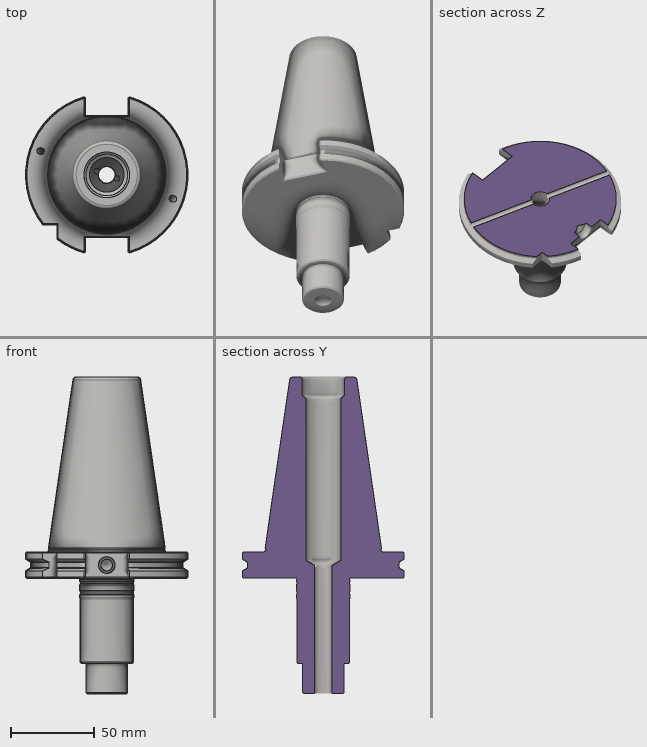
import cadquery as cq
import math

gauge_diameter = 69.85
taper_ratio = 7 / 24
taper_top_z = 101.75
taper_base_z = -1.0
taper_top_edge_radius = 2.0

neck_radius = 34.6
neck_step_z = -2.0
neck_foot_radius = 35.5

flange_diameter = 97.5
flange_radius = flange_diameter / 2
flange_top_z = -3.2
flange_thickness = 15.85
flange_bottom_z = flange_top_z - flange_thickness
flange_edge_chamfer = 0.8

groove_center_z = -11.1
groove_floor_width = 3.5
groove_depth = 3.0
groove_floor_fillet = 0.6
groove_flank_angle = 30

edge_tolerance = 0.01

slot_width = 25.7
slot_floor_back_y = 35.5
slot_floor_front_y = -37.7
slot_edge_chamfer = 0.9
notch_x = -30.0
notch_y = -30.0

chip_diameter = 10.0
chip_depth = 4.6
chip_core_diameter = 7.0

shank_radius = 32.0 / 2
land_radius = 32.5 / 2
shank_end_z = -70.2
shank_end_chamfer = 0.8
pilot_radius = 25.0 / 2
pilot_end_z = -88.35
pilot_end_chamfer = 0.8
undercut_radius = 15.9
collar_top_z = -19.9
collar_bottom_z = -21.0
land_edge_slope = 0.8
lands = [(-22.2, -27.3), (-28.4, -31.4)]

mouth_radius = 27.4 / 2
counterbore_radius = 25.0 / 2
counterbore_depth = 11.0
thread_core_radius = 20.75 / 2
through_bore_radius = 10.0 / 2
bore_shoulder_z = -11.4
drill_point_angle = 118

coolant_angle = -19.8
coolant_circle_radius = 42.2
coolant_feed_diameter = 3.9
coolant_feed_tilt = 30
coolant_cross_diameter = 3.24


def taper_radius(z):
    """Radius of the taper at height z."""
    return (gauge_diameter - taper_ratio * z) / 2


def drill_tip_height(radius):
    """Height of the conical end of a drilled hole."""
    return radius / math.tan(math.radians(drill_point_angle / 2))


def revolve_profile(points):
    """Solid of revolution about Z from (radius, z) points."""
    return cq.Workplane("XZ").polyline(points).close().revolve(360, (0, 0), (0, 1))


def taper_and_neck():
    """Steep taper with a rounded top edge and a waisted neck at its base."""
    taper = revolve_profile([
        (0, taper_top_z),
        (taper_radius(taper_top_z), taper_top_z),
        (taper_radius(taper_base_z), taper_base_z),
        (neck_radius, neck_step_z),
        (neck_foot_radius, flange_top_z),
        (0, flange_top_z),
    ])
    return taper.faces(">Z").edges().fillet(taper_top_edge_radius)


def slot_cutter(floor_y, outward):
    """Drive slot open in the outward direction (+1 or -1 along Y)."""
    return (
        cq.Workplane("XY")
        .workplane(offset=flange_bottom_z)
        .center(0, floor_y + outward * flange_radius / 2)
        .rect(slot_width, flange_radius)
        .extrude(flange_thickness)
    )


def notch_cutter():
    """Square block that clears the orientation notch."""
    block = cq.Workplane("XY").box(flange_radius, flange_radius, flange_thickness, centered=False)
    return block.translate((notch_x - flange_radius, notch_y - flange_radius, flange_bottom_z))


def gripper_groove():
    """Ring with sloping flanks and a rounded floor that cuts the gripper groove."""
    floor_half = groove_floor_width / 2
    rim_half = floor_half + groove_depth * math.tan(math.radians(groove_flank_angle))
    floor_radius = flange_radius - groove_depth
    ring = revolve_profile([
        (floor_radius, groove_center_z + floor_half),
        (flange_radius, groove_center_z + rim_half),
        (flange_radius, groove_center_z - rim_half),
        (floor_radius, groove_center_z - floor_half),
    ])
    for side in (-1, 1):
        corner_z = groove_center_z + side * floor_half
        floor_edge = cq.selectors.BoxSelector(
            (-flange_radius, -flange_radius, corner_z - edge_tolerance),
            (flange_radius, flange_radius, corner_z + edge_tolerance),
            boundingbox=True,
        )
        ring = ring.edges(floor_edge).fillet(groove_floor_fillet)
    return ring


def flange():
    """Flange disc with drive slots, notch, edge chamfers and gripper groove."""
    disc = (
        cq.Workplane("XY")
        .workplane(offset=flange_bottom_z)
        .circle(flange_radius)
        .extrude(flange_thickness)
    )
    disc = disc.cut(slot_cutter(slot_floor_back_y, 1))
    disc = disc.cut(slot_cutter(slot_floor_front_y, -1))
    disc = disc.cut(notch_cutter())
    corner_y = math.sqrt(flange_radius**2 - (slot_width / 2) ** 2)
    for side in (-1, 1):
        for end in (-1, 1):
            corner = (side * slot_width / 2, end * corner_y, groove_center_z)
            disc = disc.edges(cq.selectors.NearestToPointSelector(corner)).chamfer(slot_edge_chamfer)
    disc = disc.faces("<Z or >Z").edges().chamfer(flange_edge_chamfer)
    return disc.cut(gripper_groove())


def shank():
    """Shank with a collar, two bevelled lands and a pilot at its end."""
    points = [
        (0, flange_bottom_z),
        (undercut_radius, flange_bottom_z),
        (undercut_radius, collar_top_z),
        (land_radius, collar_top_z),
        (land_radius, collar_bottom_z),
        (undercut_radius, collar_bottom_z),
    ]
    for top, bottom in lands:
        points += [
            (undercut_radius, top),
            (land_radius, top - land_edge_slope),
            (land_radius, bottom + land_edge_slope),
            (undercut_radius, bottom),
        ]
    last_land_bottom = lands[-1][1]
    points[-1] = (shank_radius, last_land_bottom)
    points += [
        (shank_radius, shank_end_z + shank_end_chamfer),
        (shank_radius - shank_end_chamfer, shank_end_z),
        (pilot_radius, shank_end_z),
        (pilot_radius, pilot_end_z + pilot_end_chamfer),
        (pilot_radius - pilot_end_chamfer, pilot_end_z),
        (0, pilot_end_z),
    ]
    return revolve_profile(points)


def axial_bore():
    """Chamfered counterbore, thread core bore and through bore, joined by cones."""
    mouth_depth = mouth_radius - counterbore_radius
    counterbore_floor_z = taper_top_z - counterbore_depth
    thread_chamfer = counterbore_radius - thread_core_radius
    shoulder_top_z = bore_shoulder_z + drill_tip_height(thread_core_radius - through_bore_radius)
    return revolve_profile([
        (0, taper_top_z),
        (mouth_radius, taper_top_z),
        (counterbore_radius, taper_top_z - mouth_depth),
        (counterbore_radius, counterbore_floor_z),
        (thread_core_radius, counterbore_floor_z - thread_chamfer),
        (thread_core_radius, shoulder_top_z),
        (through_bore_radius, bore_shoulder_z),
        (through_bore_radius, pilot_end_z),
        (0, pilot_end_z),
    ])


def chip_pocket():
    """Stepped pocket with a conical end, sunk along +Y into the front slot floor."""
    core_radius = chip_core_diameter / 2
    profile = [
        (0, 0),
        (chip_diameter / 2, 0),
        (chip_diameter / 2, -chip_depth),
        (core_radius, -chip_depth),
        (0, -chip_depth - drill_tip_height(core_radius)),
    ]
    pocket = revolve_profile(profile).rotate((0, 0, 0), (1, 0, 0), 90)
    return pocket.translate((0, slot_floor_front_y, groove_center_z))


def coolant_holes(angle):
    """Feed hole slanting inward from the flange face and cross hole from the groove to the bore."""
    drop = flange_top_z - groove_center_z
    feed_length = drop / math.cos(math.radians(coolant_feed_tilt))
    overshoot = coolant_feed_diameter
    feed = (
        cq.Workplane("XY")
        .workplane(offset=-feed_length)
        .circle(coolant_feed_diameter / 2)
        .extrude(feed_length + overshoot)
        .rotate((0, 0, 0), (0, 1, 0), coolant_feed_tilt)
        .translate((coolant_circle_radius, 0, flange_top_z))
    )
    cross = (
        cq.Workplane("YZ")
        .center(0, groove_center_z)
        .circle(coolant_cross_diameter / 2)
        .extrude(flange_radius)
    )
    return feed.union(cross).rotate((0, 0, 0), (0, 0, 1), angle)


result = flange().union(taper_and_neck()).union(shank())
result = result.cut(axial_bore()).cut(chip_pocket())
for turn in (0, 180):
    result = result.cut(coolant_holes(coolant_angle + turn))